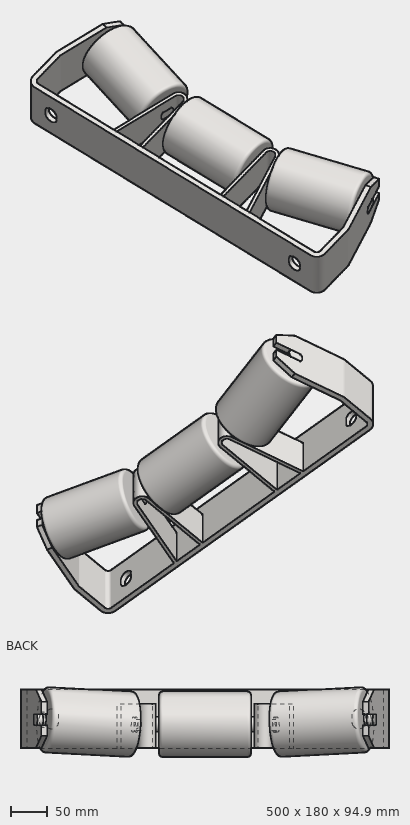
import cadquery as cq
import math

frame_length = 500.0
frame_height = 80.0
wall = 8.0
bend_radius = 14.0
tip_chamfer_along = 29.5
tip_chamfer_height = 17.0

mount_slot_spacing = 417.0
mount_slot_width = 18.5
mount_slot_height = 27.0

divider_height = 60.0
divider_thickness = 5.0
divider_bend_radius = 12.0

roller_diameter = 89.0
roller_length = 125.0
roller_edge_radius = 5.0
roller_gap = 4.0
axle_diameter = 21.0
axle_flat_width = 15.0

middle_y = 100.5
middle_z = 32.5
side_x = 158.0
side_y = 122.0
side_z = 35.5
side_turn = 15.0
side_tilt = 2.9
axle_to_tip = 31.0

turn = math.radians(side_turn)
tilt = math.radians(side_tilt)
half_length = frame_length / 2
seat = roller_length / 2 + roller_gap
wall_reach = seat + wall
axis_x, axis_y = math.cos(turn), math.sin(turn)


def beside_roller(outward, along):
    """Plan point measured from the right roller: outward on its axis, and along the frame end."""
    return (
        side_x + outward * axis_x - along * axis_y,
        side_y + outward * axis_y + along * axis_x,
    )


def mirrored_prism(right_points, height):
    """Prism whose plan is the given right-hand points and their mirror image."""
    left_points = [(-x, y) for x, y in reversed(right_points)]
    return cq.Workplane("XY").polyline(right_points + left_points).close().extrude(height)


def make_frame_strip():
    outer_tip = beside_roller(wall_reach, axle_to_tip)
    inner_tip = beside_roller(seat, axle_to_tip)
    bend_y = side_y + (wall_reach - (half_length - side_x) * axis_x) / axis_y
    inner_half = half_length - wall
    inner_bend_y = bend_y - wall * math.tan(turn / 2)

    outside = mirrored_prism(
        [(half_length, 0), (half_length, bend_y), outer_tip, inner_tip], frame_height
    )
    inside = mirrored_prism(
        [(inner_half, wall), (inner_half, inner_bend_y), inner_tip], frame_height
    )
    bends = cq.selectors.BoxSelector(
        (-frame_length, -wall, 0), (frame_length, side_y, frame_height)
    )
    outside = outside.edges("|Z").edges(bends).fillet(bend_radius)
    inside = inside.edges("|Z").edges(bends).fillet(bend_radius - wall)
    return outside.cut(inside)


def make_tip_cuts():
    """Triangular prisms that take the corners off the right free end of the frame."""
    tip_x, tip_y = beside_roller(wall_reach, axle_to_tip)
    end_face = cq.Plane(
        origin=(tip_x, tip_y, 0), xDir=(-axis_y, axis_x, 0), normal=(axis_x, axis_y, 0)
    )
    cuts = cq.Workplane(end_face)
    for edge_z, inward in ((0, 1), (frame_height, -1)):
        corner = [
            (0, edge_z),
            (-tip_chamfer_along, edge_z),
            (0, edge_z + inward * tip_chamfer_height),
        ]
        cuts = cuts.add(cq.Workplane(end_face).polyline(corner).close().extrude(wall, both=True))
    return cuts.combine()


def make_mount_slots():
    return (
        cq.Workplane("XZ")
        .pushPoints([(side * mount_slot_spacing / 2, frame_height / 2) for side in (-1, 1)])
        .slot2D(mount_slot_height, mount_slot_width, 90)
        .extrude(-wall)
    )


def make_divider():
    """Right-hand folded divider, standing against the back bar."""
    fold_x = seat + divider_bend_radius
    fold_y = side_y - (seat + divider_bend_radius + (fold_x - side_x) * axis_x) / axis_y

    def leg_profile(radius):
        lean_x = fold_x + radius * axis_x
        lean_y = fold_y + radius * axis_y
        foot_x = lean_x + (lean_y - wall) * math.tan(turn)
        return (lean_x, lean_y), (foot_x, wall)

    inner_radius = divider_bend_radius - divider_thickness
    outer_lean, outer_foot = leg_profile(divider_bend_radius)
    inner_lean, inner_foot = leg_profile(inner_radius)
    return (
        cq.Workplane("XY")
        .moveTo(seat, wall)
        .lineTo(seat, fold_y)
        .threePointArc((fold_x, fold_y + divider_bend_radius), outer_lean)
        .lineTo(*outer_foot)
        .lineTo(*inner_foot)
        .lineTo(*inner_lean)
        .threePointArc((fold_x, fold_y + inner_radius), (fold_x - inner_radius, fold_y))
        .lineTo(fold_x - inner_radius, wall)
        .close()
        .extrude(divider_height)
    )


def along_x(profile_length):
    """Workplane facing +X, set back so that an extrusion of this length is centred."""
    return cq.Workplane("YZ", origin=(-profile_length / 2, 0, 0))


def make_roller():
    """Roller barrel along X, with an axle longer than the space between its supports."""
    barrel = along_x(roller_length).circle(roller_diameter / 2).extrude(roller_length)
    barrel = barrel.edges().fillet(roller_edge_radius)
    axle_length = 2 * seat + axle_diameter
    return barrel.union(along_x(axle_length).circle(axle_diameter / 2).extrude(axle_length))


def make_tang(start, length):
    """Axle end with flats above and below, filling a support from start outwards along X."""
    end = cq.Workplane("YZ", origin=(start, 0, 0)).circle(axle_diameter / 2).extrude(length)
    flats = cq.Workplane("XY").box(2 * frame_length, axle_diameter, axle_flat_width)
    return end.intersect(flats)


def make_fitted_roller(tilt_angle, outer_support):
    """Roller tilted up at +X, its axle cut at the support faces, with a level tang at each end.

    The -X tang fills a divider; the +X tang fills a support of the given thickness.
    """
    between = cq.Workplane("XY").box(2 * seat, 2 * roller_diameter, 2 * roller_diameter)
    tilted = make_roller().rotate((0, 0, 0), (0, 1, 0), -math.degrees(tilt_angle)).intersect(between)
    rise = seat * math.tan(tilt_angle)
    outer_tang = make_tang(seat, outer_support).translate((0, 0, rise))
    inner_tang = make_tang(-seat, -divider_thickness).translate((0, 0, -rise))
    return tilted.union(outer_tang).union(inner_tang)


def turn_to_side(body):
    """Turn a body in plan and carry it to the right roller position."""
    return body.rotate((0, 0, 0), (0, 0, 1), side_turn).translate((side_x, side_y, side_z))


def make_side_roller():
    return turn_to_side(make_fitted_roller(tilt, wall))


def make_middle_roller():
    return make_fitted_roller(0, divider_thickness).translate((0, middle_y, middle_z))


def make_axle_slot():
    """Slot in the right frame end, open at the tip, that the axle tang drops into."""
    slot_run = 2 * axle_to_tip
    slot = cq.Workplane("XY").box(2 * wall, slot_run, axle_flat_width)
    return turn_to_side(slot.translate((wall_reach, slot_run / 2, seat * math.tan(tilt))))


def both_sides(body):
    return [body, body.mirror("YZ")]


side_rollers = both_sides(make_side_roller())
frame = make_frame_strip().cut(make_mount_slots())
for cutter in both_sides(make_tip_cuts()) + both_sides(make_axle_slot()):
    frame = frame.cut(cutter)
for divider in both_sides(make_divider()):
    frame = frame.union(divider)
frame = frame.union(make_middle_roller())
for roller in side_rollers:
    frame = frame.cut(roller)

result = cq.Compound.makeCompound([frame.val(), *[roller.val() for roller in side_rollers]])